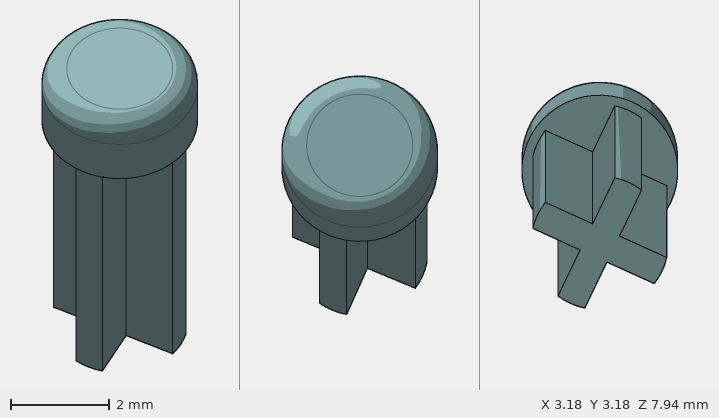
import cadquery as cq

total_height = 7.94

head_diameter = 3.175
head_height = 1.59
head_edge_radius = 0.51

stem_diameter = 2.795
arm_thickness = 0.6
stem_height = total_height - head_height


def make_head():
    """Round cap with a rounded top edge, sitting on top of the stem."""
    return (
        cq.Workplane("XY")
        .workplane(offset=stem_height)
        .circle(head_diameter / 2)
        .extrude(head_height)
        .faces(">Z")
        .edges()
        .fillet(head_edge_radius)
    )


def make_stem():
    """Two crossed ribs trimmed to the stem cylinder, standing on Z = 0."""
    envelope = cq.Workplane("XY").circle(stem_diameter / 2).extrude(stem_height)
    on_base = (True, True, False)
    rib_x = cq.Workplane("XY").box(stem_diameter, arm_thickness, stem_height, centered=on_base)
    rib_y = cq.Workplane("XY").box(arm_thickness, stem_diameter, stem_height, centered=on_base)
    return rib_x.union(rib_y).intersect(envelope)


result = make_head().union(make_stem())